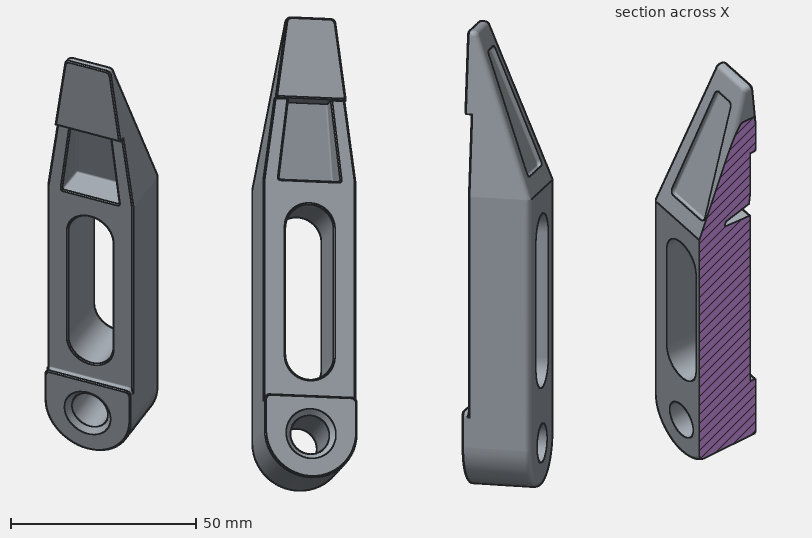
import cadquery as cq
import math

LENGTH = 127.0
WIDTH = 25.4
DEPTH = 19.0

SHOULDER_Z = 82.5
TIP_WIDTH = 13.3
TIP_DEPTH = 2.5

STEP = 1.8
FOOT_TOP = 22.6
PAD_BOTTOM = 104.6

BACK_FILLET = 1.5
CORNER_RADIUS = 1.5
STEP_FILLET = 0.4
EDGE_CHAMFER = 0.4

HOLE_Z = 12.1
HOLE_DIAMETER = 10.7
HOLE_CHAMFER = 1.5

SLOT_BOTTOM = 27.4
SLOT_TOP = 75.8
SLOT_WIDTH = 13.2

POCKET_BOTTOM = 82.4
POCKET_BOTTOM_WIDTH = 17.0
POCKET_TOP_WIDTH = 11.7
POCKET_DEPTH = 8.9
POCKET_DRAFT = 2.0
POCKET_FLOOR_TILT = 11.0
POCKET_FILLET = 0.5

RECESS_START = 5.3
RECESS_END = 41.0
RECESS_START_WIDTH = 15.2
RECESS_END_WIDTH = 6.9
RECESS_DEPTH = 1.3
RECESS_CORNER = 1.3
RECESS_FILLET = 0.5

HALF_WIDTH = WIDTH / 2
TIP_HEIGHT = LENGTH - SHOULDER_Z
SLOPE_RUN = DEPTH - TIP_DEPTH
SLOPE_ANGLE = math.atan2(SLOPE_RUN, TIP_HEIGHT)


def half_width_at(z):
    """Half of the body width at height z."""
    taper = (HALF_WIDTH - TIP_WIDTH / 2) / TIP_HEIGHT
    return HALF_WIDTH - taper * max(0.0, z - SHOULDER_Z)


def front_plane(y):
    """Plane facing +Y at depth y, with local x along -X and local y along +Z."""
    return cq.Workplane(cq.Plane(origin=(0, y, 0), xDir=(-1, 0, 0), normal=(0, 1, 0)))


def side_profile(points):
    """Prism across the whole width from (y, z) points."""
    return cq.Workplane("YZ").polyline(points).close().extrude(HALF_WIDTH, both=True)


def make_blank():
    """Full outline with the sloped back and rounded back edges."""
    half_tip = TIP_WIDTH / 2
    blank = (
        front_plane(0)
        .moveTo(-HALF_WIDTH, HALF_WIDTH)
        .threePointArc((0, 0), (HALF_WIDTH, HALF_WIDTH))
        .lineTo(HALF_WIDTH, SHOULDER_Z)
        .lineTo(half_tip, LENGTH)
        .lineTo(-half_tip, LENGTH)
        .lineTo(-HALF_WIDTH, SHOULDER_Z)
        .close()
        .extrude(DEPTH)
        .edges("|Y and >Z")
        .fillet(CORNER_RADIUS)
    )
    blank = blank.cut(side_profile([(DEPTH, SHOULDER_Z), (TIP_DEPTH, LENGTH), (DEPTH, LENGTH)]))

    slope_middle = (0, DEPTH - SLOPE_RUN / 2, SHOULDER_Z + TIP_HEIGHT / 2)
    slope_face = blank.faces(cq.NearestToPointSelector(slope_middle))
    rim = slope_face.edges("not |X").add(slope_face.edges("|X and >Z"))
    rim = rim.add(blank.faces(">Y").edges("not |X"))
    return blank.newObject(rim.vals()).fillet(BACK_FILLET)


def step_cutter():
    """Front layer between foot and pad, fitting over the rounded upper corners of the foot."""
    overhang = 2.5
    foot_shoulder = FOOT_TOP - CORNER_RADIUS
    layer = (
        front_plane(0)
        .moveTo(0, (foot_shoulder + PAD_BOTTOM) / 2)
        .rect(WIDTH + 2 * overhang, PAD_BOTTOM - foot_shoulder)
        .extrude(STEP)
    )
    foot = front_plane(0).rect(WIDTH, 2 * FOOT_TOP).extrude(STEP).edges("|Y").fillet(CORNER_RADIUS)
    cutter = layer.cut(foot)
    return cutter.edges(cq.NearestToPointSelector((0, STEP, FOOT_TOP))).fillet(STEP_FILLET)


def pocket_cutter():
    """Drafted wedge that ends flat against the underside of the pad."""
    height = PAD_BOTTOM - POCKET_BOTTOM
    narrowing = (POCKET_BOTTOM_WIDTH - POCKET_TOP_WIDTH) / 2 / height
    overshoot = 2.5
    half_bottom = POCKET_BOTTOM_WIDTH / 2
    half_top = POCKET_TOP_WIDTH / 2 - narrowing * overshoot
    wedge = (
        front_plane(STEP)
        .moveTo(-half_bottom, POCKET_BOTTOM)
        .lineTo(half_bottom, POCKET_BOTTOM)
        .lineTo(half_top, PAD_BOTTOM + overshoot)
        .lineTo(-half_top, PAD_BOTTOM + overshoot)
        .close()
        .extrude(POCKET_DEPTH, taper=POCKET_DRAFT)
    )
    floor_low = STEP + POCKET_DEPTH
    floor_high = floor_low - height * math.tan(math.radians(POCKET_FLOOR_TILT))
    keep = side_profile(
        [(STEP, POCKET_BOTTOM), (floor_low, POCKET_BOTTOM), (floor_high, PAD_BOTTOM), (STEP, PAD_BOTTOM)]
    )
    wedge = wedge.intersect(keep)
    corner_edges = wedge.faces("<Z").edges("not |X")
    floor_edges = wedge.faces(">Y").edges("not >Z")
    return wedge.newObject(corner_edges.vals() + floor_edges.vals()).fillet(POCKET_FILLET)


def recess_cutter():
    """Trapezoid sunk square into the sloped back."""
    plane = cq.Plane(
        origin=(0, DEPTH, SHOULDER_Z),
        xDir=(-1, 0, 0),
        normal=(0, math.cos(SLOPE_ANGLE), math.sin(SLOPE_ANGLE)),
    )
    half_start = RECESS_START_WIDTH / 2
    half_end = RECESS_END_WIDTH / 2
    return (
        cq.Workplane(plane)
        .moveTo(-half_start, RECESS_START)
        .lineTo(half_start, RECESS_START)
        .lineTo(half_end, RECESS_END)
        .lineTo(-half_end, RECESS_END)
        .close()
        .extrude(-RECESS_DEPTH)
        .edges(cq.ParallelDirSelector(plane.zDir))
        .fillet(RECESS_CORNER)
        .faces(cq.DirectionMinMaxSelector(plane.zDir, False))
        .edges()
        .fillet(RECESS_FILLET)
    )


def slot_cutter():
    """Slot with round ends through the full depth."""
    return (
        front_plane(0)
        .center(0, (SLOT_BOTTOM + SLOT_TOP) / 2)
        .slot2D(SLOT_TOP - SLOT_BOTTOM, SLOT_WIDTH, 90)
        .extrude(DEPTH)
    )


def hole_cutter():
    """Round hole through the full depth, countersunk at the front."""
    radius = HOLE_DIAMETER / 2
    hole = front_plane(0).center(0, HOLE_Z).circle(radius).extrude(DEPTH)
    countersink = (
        front_plane(0)
        .center(0, HOLE_Z)
        .circle(radius + HOLE_CHAMFER)
        .workplane(offset=HOLE_CHAMFER)
        .circle(radius)
        .loft()
    )
    return hole.union(countersink)


def side_chamfer_cutter():
    """Slivers along both sides of the set-back face, from the foot corners up to the pad."""
    heights = (FOOT_TOP - CORNER_RADIUS, SHOULDER_Z, PAD_BOTTOM)

    def outline(inset):
        right = [(half_width_at(z) - inset, z) for z in heights]
        left = [(-x, z) for x, z in reversed(right)]
        return right + left

    slab = front_plane(STEP).polyline(outline(0)).close().extrude(EDGE_CHAMFER)
    kept = (
        front_plane(STEP)
        .polyline(outline(EDGE_CHAMFER))
        .close()
        .workplane(offset=EDGE_CHAMFER)
        .polyline(outline(0))
        .close()
        .loft(ruled=True)
    )
    return slab.cut(kept)


body = make_blank().cut(step_cutter()).cut(slot_cutter()).cut(pocket_cutter())

body = body.faces("<Y").edges().chamfer(EDGE_CHAMFER)

set_back_face = body.faces("|Y").faces(cq.NearestToPointSelector((0, STEP, LENGTH / 2)))
slot_rim = set_back_face.val().innerWires()[0].Edges()
pocket_rim = set_back_face.edges(cq.NearestToPointSelector((0, STEP, POCKET_BOTTOM))).vals()
body = body.newObject(slot_rim + pocket_rim).chamfer(EDGE_CHAMFER)

result = body.cut(side_chamfer_cutter()).cut(hole_cutter()).cut(recess_cutter())